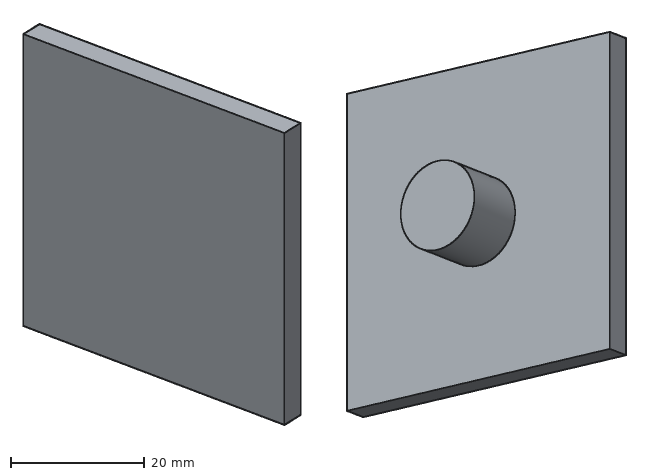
import cadquery as cq

plate_side = 50.0
plate_thickness = 4.0
boss_diameter = 14.0
boss_length = 10.0


def make_plate():
    """Square plate in the XZ plane, front face at Y = 0."""
    return cq.Workplane("XY").box(
        plate_side, plate_thickness, plate_side, centered=(True, False, True)
    )


def add_boss(body):
    """Round boss at the centre of the plate's back (+Y) face."""
    back_face = body.faces(">Y").workplane(centerOption="CenterOfBoundBox")
    return back_face.circle(boss_diameter / 2).extrude(boss_length)


result = add_boss(make_plate())